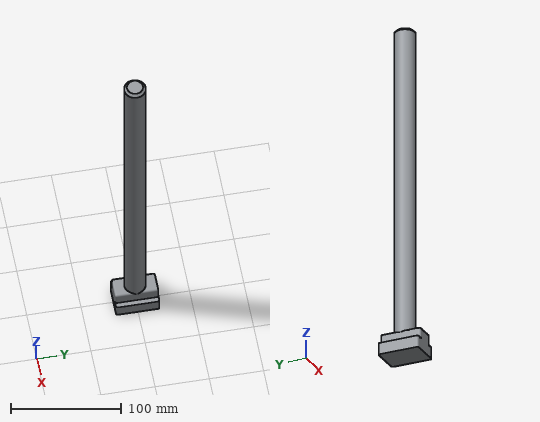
import cadquery as cq

total_height = 326.0
head_width = 30.0
head_length = 40.0
flange_height = 11.5
head_height = 22.2
shaft_diameter = 20.0
neck_width = shaft_diameter
edge_radius = 2.0
tip_chamfer = 2.5


def block(width, bottom, top):
    """Full-length block with rounded vertical corners."""
    return (
        cq.Workplane("XY")
        .workplane(offset=bottom)
        .rect(width, head_length)
        .extrude(top - bottom)
        .edges("|Z")
        .fillet(edge_radius)
    )


flange = block(head_width, 0, flange_height)
neck = block(neck_width, flange_height, head_height).faces(">Z").edges().fillet(edge_radius)

shaft = (
    cq.Workplane("XY")
    .workplane(offset=flange_height)
    .circle(shaft_diameter / 2)
    .extrude(total_height - flange_height)
    .faces(">Z")
    .chamfer(tip_chamfer)
)

result = flange.union(neck).union(shaft)